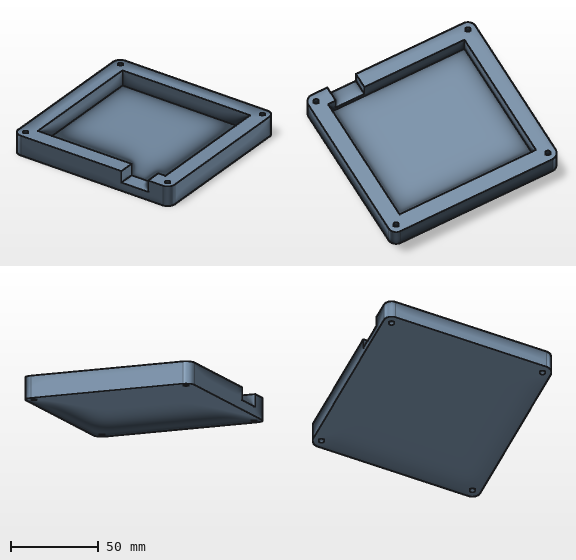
import cadquery as cq

length = 108.7
width = 103.9
height = 13.0
corner_radius = 5.0

wall_thickness = 10.0
floor_thickness = 3.0

hole_diameter = 3.2

notch_width = 18.6
notch_depth = 7.5
notch_right_margin = 15.0

block = (
    cq.Workplane("XY")
    .box(length, width, height, centered=(True, True, False))
    .edges("|Z")
    .fillet(corner_radius)
)

pocket = (
    cq.Workplane("XY")
    .workplane(offset=floor_thickness)
    .rect(length - 2 * wall_thickness, width - 2 * wall_thickness)
    .extrude(height - floor_thickness)
)

notch_center_x = length / 2 - notch_right_margin - notch_width / 2
notch_center_y = -width / 2 + wall_thickness / 2
notch = (
    cq.Workplane("XY")
    .workplane(offset=height - notch_depth)
    .center(notch_center_x, notch_center_y)
    .rect(notch_width, wall_thickness)
    .extrude(notch_depth)
)

screw_holes = (
    cq.Workplane("XY")
    .rect(length - 2 * corner_radius, width - 2 * corner_radius, forConstruction=True)
    .vertices()
    .circle(hole_diameter / 2)
    .extrude(height)
)

result = block.cut(pocket).cut(notch).cut(screw_holes)